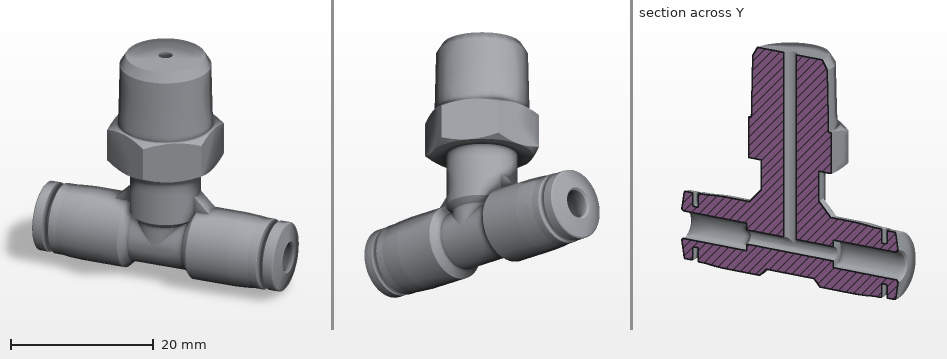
import cadquery as cq
import math


half_length = 18.65
core_radius = 4.18
body_radius = 5.25
shoulder_start = 4.1
shoulder_end = shoulder_start + body_radius - core_radius
taper_start = 11.5
taper_end = 14.47
body_end = 15.8
body_end_radius = 5.05
body_edge_chamfer = 0.1
taper_bulge = 0.055

neck_radius = 3.0
neck_flare = 0.1
neck_flare_length = 0.3
flange_radius = 9.9 / 2
flange_inner = 16.7
flange_outer = 18.1
flange_edge_length = 0.15
flange_edge_depth = 0.2
mouth_radius = 2.28

stem_radius = 10.0 / 2
stem_bottom = 4.03
stem_core_top = stem_bottom - (stem_radius - core_radius)
hex_bottom = 11.6
hex_top = 17.6
hex_corners = 16.5
hex_flats = hex_corners * math.cos(math.pi / 6)
hex_chamfer_angle = math.radians(30)
hex_envelope_margin = 0.37
thread_base_radius = 6.68
thread_top_radius = 6.45
thread_end = 26.6
branch_top = 27.98
branch_tip_radius = 5.6

gusset_width = 2.45
gusset_reach = 12.27

bore_radius = 2.0 / 2
socket_radius = 3.95 / 2
socket_depth = 11.2
socket_chamfer = mouth_radius - socket_radius


def run_half():
    """The +X half of the run, with its collar, turned about the X axis."""
    taper_mid = ((taper_start + taper_end) / 2, (body_radius + body_end_radius) / 2 + taper_bulge)
    face_edge = flange_outer + flange_edge_length
    face_radius = flange_radius - flange_edge_depth
    return (
        cq.Workplane("XY")
        .lineTo(0, core_radius)
        .lineTo(shoulder_start, core_radius)
        .lineTo(shoulder_end, body_radius)
        .lineTo(taper_start, body_radius)
        .threePointArc(taper_mid, (taper_end, body_end_radius))
        .lineTo(body_end - body_edge_chamfer, body_end_radius)
        .lineTo(body_end, body_end_radius - body_edge_chamfer)
        .lineTo(body_end, neck_radius)
        .lineTo(flange_inner - neck_flare_length, neck_radius)
        .lineTo(flange_inner, neck_radius + neck_flare)
        .lineTo(flange_inner, flange_radius)
        .lineTo(flange_outer, flange_radius)
        .lineTo(face_edge, face_radius)
        .lineTo(half_length, mouth_radius)
        .lineTo(half_length, 0)
        .close()
        .revolve(360, (0, 0, 0), (1, 0, 0))
    )


def branch():
    """Stem and tapered thread, turned about Z; the slim foot forms a mitre with the run core."""
    return (
        cq.Workplane("XZ")
        .lineTo(core_radius, 0)
        .lineTo(core_radius, stem_core_top)
        .lineTo(stem_radius, stem_bottom)
        .lineTo(stem_radius, hex_top)
        .lineTo(thread_base_radius, hex_top)
        .lineTo(thread_top_radius, thread_end)
        .lineTo(branch_tip_radius, branch_top)
        .lineTo(0, branch_top)
        .close()
        .revolve(360, (0, 0, 0), (0, 1, 0))
    )


def hexagon():
    """Hexagon with corners on Y, its corners chamfered by cones at both faces."""
    height = hex_top - hex_bottom
    prism = (
        cq.Workplane("XY", origin=(0, 0, hex_bottom))
        .polygon(6, hex_corners)
        .extrude(height)
        .rotate((0, 0, 0), (0, 0, 1), 90)
    )
    face_radius = hex_flats / 2
    outer_radius = hex_corners / 2 + hex_envelope_margin
    drop = (outer_radius - face_radius) * math.tan(hex_chamfer_angle)
    envelope = (
        cq.Workplane("XZ")
        .moveTo(0, hex_bottom)
        .lineTo(face_radius, hex_bottom)
        .lineTo(outer_radius, hex_bottom + drop)
        .lineTo(outer_radius, hex_top - drop)
        .lineTo(face_radius, hex_top)
        .lineTo(0, hex_top)
        .close()
        .revolve(360, (0, 0, 0), (0, 1, 0))
    )
    return prism.intersect(envelope)


def gussets():
    """One triangle gives both 45-degree gussets."""
    return (
        cq.Workplane("XZ")
        .moveTo(-gusset_reach + core_radius, core_radius)
        .lineTo(0, gusset_reach)
        .lineTo(gusset_reach - core_radius, core_radius)
        .close()
        .extrude(gusset_width / 2, both=True)
    )


def socket():
    """Tube socket at the +X end, with a chamfered mouth."""
    socket_bottom = half_length - socket_depth
    return (
        cq.Workplane("XY")
        .moveTo(socket_bottom, 0)
        .lineTo(socket_bottom, socket_radius)
        .lineTo(half_length - socket_chamfer, socket_radius)
        .lineTo(half_length, mouth_radius)
        .lineTo(half_length, 0)
        .close()
        .revolve(360, (0, 0, 0), (1, 0, 0))
    )


def bores():
    """Bore through the run, meeting the bore down the branch."""
    run_bore = cq.Workplane("YZ").circle(bore_radius).extrude(half_length, both=True)
    branch_bore = cq.Workplane("XY").circle(bore_radius).extrude(branch_top)
    return run_bore.union(branch_bore)


right_half = run_half()
right_socket = socket()
body = right_half.union(right_half.mirror("YZ"))
body = body.union(branch()).union(hexagon()).union(gussets())
result = body.cut(right_socket).cut(right_socket.mirror("YZ")).cut(bores())